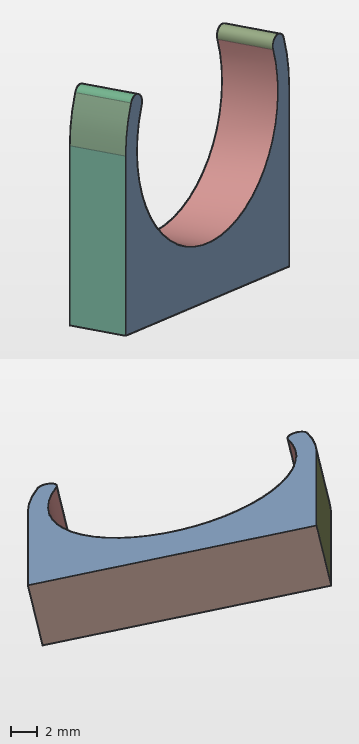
import cadquery as cq
import math

width = 5.0
outer_radius = 11.0
bore_radius = 9.45
floor_thickness = 4.49
arm_angle = 21.0

bore_height = floor_thickness + bore_radius
tip_radius = (outer_radius - bore_radius) / 2
arm_mid_radius = bore_radius + tip_radius


def polar(radius, degrees):
    """Point (y, z) on a circle about the bore axis."""
    angle = math.radians(degrees)
    return (radius * math.cos(angle), bore_height + radius * math.sin(angle))


def tip_crest(arm_direction, travel_direction):
    """Outermost point of the rounded end of an arm."""
    y, z = polar(arm_mid_radius, arm_direction)
    angle = math.radians(travel_direction)
    return (y + tip_radius * math.cos(angle), z + tip_radius * math.sin(angle))


right_arm = arm_angle
left_arm = 180 - arm_angle

profile = (
    cq.Workplane("YZ")
    .moveTo(-outer_radius, 0)
    .lineTo(outer_radius, 0)
    .lineTo(outer_radius, bore_height)
    .threePointArc(polar(outer_radius, right_arm / 2), polar(outer_radius, right_arm))
    .threePointArc(tip_crest(right_arm, right_arm + 90), polar(bore_radius, right_arm))
    .threePointArc(polar(bore_radius, -90), polar(bore_radius, left_arm))
    .threePointArc(tip_crest(left_arm, left_arm - 90), polar(outer_radius, left_arm))
    .threePointArc(polar(outer_radius, 180 - arm_angle / 2), (-outer_radius, bore_height))
    .close()
)

result = profile.extrude(width / 2, both=True)